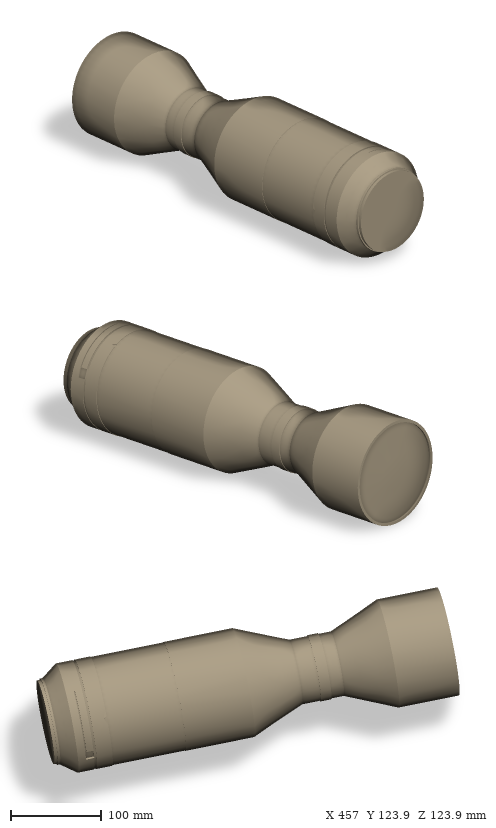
import cadquery as cq

LENGTH = 457.0
BAND_RADIUS = 61.95

BASE_RADIUS = 61.3
BASE_END = 68.5
RIM_INNER_RADIUS = 58.0
RIM_DEPTH = 2.5

NECK_RADIUS = 36.5
NECK_START = 125.5
NECK_END = 173.0
RING_RADIUS = 37.5
RING_START = 140.5
RING_END = 152.2

FRONT_BARREL_RADIUS = 61.5
REAR_BARREL_RADIUS = 61.3
BARREL_START = 232.5
BARREL_STEP = 311.0

BAND_START = 394.0
BAND_END = 433.0
GROOVE_START = 412.0
GROOVE_WIDTH = 2.7
GROOVE_DEPTH = 1.0

COLLAR_RADIUS = 49.0
COLLAR_START = 451.0
SPIGOT_RADIUS = 47.5
SPIGOT_START = 453.5

SLIT_WIDTH = 1.5
SLIT_DEPTH = 1.5
SLIT_CENTRE = 423.5
TAB_ROOT_ANGLE = -4.0
TAB_END_ANGLE = 64.0
WINDOW_END_ANGLE = 75.0
WINDOW_DEPTH = 2.5

NOTCH_COUNT = 3
NOTCH_FIRST_ANGLE = 30.0
NOTCH_WIDTH = 3.5
NOTCH_LENGTH = 4.0
NOTCH_DEPTH = BAND_RADIUS - REAR_BARREL_RADIUS

CUT_CLEARANCE = 4.5

AXIS_START = (0, 0, 0)
AXIS_END = (1, 0, 0)
groove_end = GROOVE_START + GROOVE_WIDTH
slit_start = SLIT_CENTRE - SLIT_WIDTH / 2
slit_end = SLIT_CENTRE + SLIT_WIDTH / 2


def turned_body():
    """Solid of revolution drawn as (X, radius) points."""
    groove_radius = BAND_RADIUS - GROOVE_DEPTH
    half_section = [
        (0, 0),
        (RIM_DEPTH, RIM_INNER_RADIUS),
        (0, RIM_INNER_RADIUS),
        (0, BASE_RADIUS),
        (BASE_END, BASE_RADIUS),
        (NECK_START, NECK_RADIUS),
        (RING_START, NECK_RADIUS),
        (RING_START, RING_RADIUS),
        (RING_END, RING_RADIUS),
        (RING_END, NECK_RADIUS),
        (NECK_END, NECK_RADIUS),
        (BARREL_START, FRONT_BARREL_RADIUS),
        (BARREL_STEP, FRONT_BARREL_RADIUS),
        (BARREL_STEP, REAR_BARREL_RADIUS),
        (BAND_START, REAR_BARREL_RADIUS),
        (BAND_START, BAND_RADIUS),
        (GROOVE_START, BAND_RADIUS),
        (GROOVE_START, groove_radius),
        (groove_end, groove_radius),
        (groove_end, BAND_RADIUS),
        (BAND_END, BAND_RADIUS),
        (COLLAR_START, COLLAR_RADIUS),
        (SPIGOT_START, COLLAR_RADIUS),
        (SPIGOT_START, SPIGOT_RADIUS),
        (LENGTH, SPIGOT_RADIUS),
        (LENGTH, 0),
    ]
    profile = cq.Workplane("XY").polyline(half_section).close()
    return profile.revolve(360, AXIS_START, AXIS_END)


def band_cutter(start, end, depth, first_angle, last_angle):
    """Ring sector that cuts the band to the given depth between two angles."""
    height = depth + CUT_CLEARANCE
    middle_radius = BAND_RADIUS - depth + height / 2
    section = cq.Workplane("XZ").center((start + end) / 2, middle_radius).rect(end - start, height)
    sector = section.revolve(last_angle - first_angle, (4.5, -middle_radius), (0, -middle_radius))
    return sector.rotate(AXIS_START, AXIS_END, -first_angle)


def index_notch(angle):
    """Triangular prism at the band's front edge, pointing along +X."""
    outline = [
        (BAND_START, -NOTCH_WIDTH / 2),
        (BAND_START + NOTCH_LENGTH, 0),
        (BAND_START, NOTCH_WIDTH / 2),
    ]
    prism = (
        cq.Workplane("XY", origin=(0, 0, BAND_RADIUS - NOTCH_DEPTH))
        .polyline(outline)
        .close()
        .extrude(NOTCH_DEPTH + CUT_CLEARANCE)
    )
    return prism.rotate(AXIS_START, AXIS_END, -angle)


slit = band_cutter(slit_start, slit_end, SLIT_DEPTH, TAB_ROOT_ANGLE, WINDOW_END_ANGLE)
window = band_cutter(groove_end, slit_end, WINDOW_DEPTH, TAB_END_ANGLE, WINDOW_END_ANGLE)
result = turned_body().cut(slit).cut(window)
for index in range(NOTCH_COUNT):
    result = result.cut(index_notch(NOTCH_FIRST_ANGLE + index * 360 / NOTCH_COUNT))